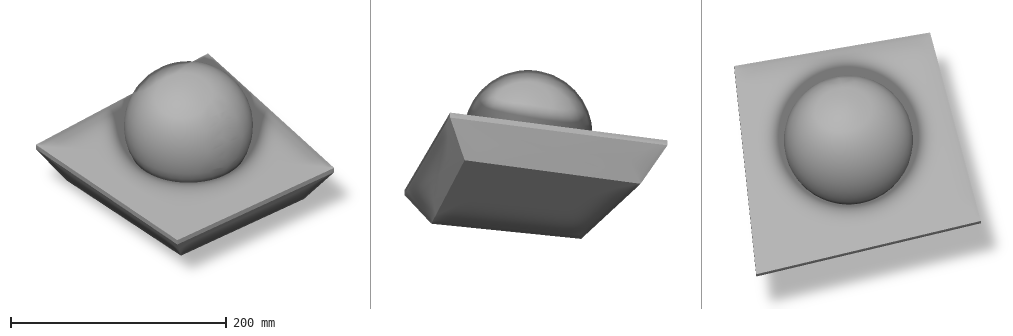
import cadquery as cq

HALF_SPAN = 107.5
FRONT_LEFT_X = -92.5
BACK_RIGHT_Y = 87.5
FRONT_RIGHT_Y = -97.6

PLATE_THICKNESS = 5.0
BASE_HEIGHT = 33.1
BASE_INSET = 20.0
OVERALL_HEIGHT = 124.5
BALL_RADIUS = 60.0

BALL_CENTER_Z = OVERALL_HEIGHT - BALL_RADIUS


def outline_corners(inset):
    """Corners of the outline, each moved by the inset toward the centre along X and Y."""
    reach = HALF_SPAN - inset
    return [
        (-reach, reach),
        (reach, BACK_RIGHT_Y - inset),
        (reach, FRONT_RIGHT_Y + inset),
        (FRONT_LEFT_X + inset, -reach),
    ]


def make_ball():
    """Full ball resting in the base and standing out above the plate."""
    return cq.Workplane("XY").sphere(BALL_RADIUS).translate((0, 0, BALL_CENTER_Z))


def make_base(ball):
    """Tapered base, narrower at the bottom, with a round seat for the ball."""
    block = (
        cq.Workplane("XY")
        .polyline(outline_corners(BASE_INSET)).close()
        .workplane(offset=BASE_HEIGHT)
        .polyline(outline_corners(0)).close()
        .loft(ruled=True)
    )
    return block.cut(ball)


def make_plate(ball):
    """Flat plate on top of the base, with a hole that fits the ball."""
    slab = (
        cq.Workplane("XY", origin=(0, 0, BASE_HEIGHT))
        .polyline(outline_corners(0)).close()
        .extrude(PLATE_THICKNESS)
    )
    return slab.cut(ball)


ball = make_ball()
base = make_base(ball)
plate = make_plate(ball)

result = cq.Compound.makeCompound([base.val(), plate.val(), ball.val()])